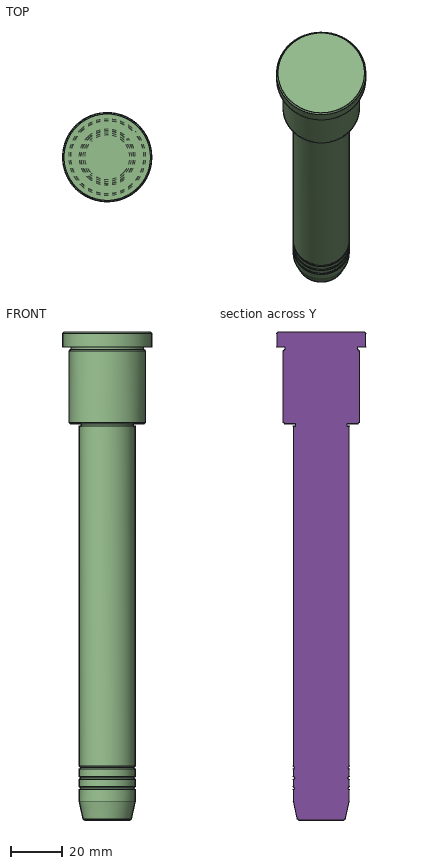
import cadquery as cq

total_length = 191.0
head_radius = 35.0 / 2
head_height = 6.0
head_chamfer = 0.5

collar_radius = 30.0 / 2
collar_bottom_depth = 36.0
collar_chamfer = 0.5

shank_radius = 22.0 / 2
tip_radius = 9.4
tip_length = 7.5
tip_chamfer = 0.5

relief_width = 1.0
relief_depth = 0.8

ring_count = 3
ring_pitch = 4.0
first_ring_height = 12.6
ring_width = 1.1
ring_depth = 0.5

bottom_z = -total_length / 2
top_z = total_length / 2
head_bottom_z = top_z - head_height
collar_bottom_z = top_z - collar_bottom_depth


def cylinder(radius, low_z, high_z):
    """Solid cylinder on the Z axis between two heights."""
    return cq.Workplane("XY").workplane(offset=low_z).circle(radius).extrude(high_z - low_z)


def groove(radius, depth, low_z, width):
    """Ring-shaped cutter that sinks a groove into a cylinder."""
    outer = cylinder(radius + depth, low_z, low_z + width)
    return outer.cut(cylinder(radius - depth, low_z, low_z + width))


def v_groove(radius, depth, middle_z, width):
    """Ring-shaped cutter with a triangular section, pointing at the axis."""
    section = [
        (radius, middle_z - width / 2),
        (radius - depth, middle_z),
        (radius, middle_z + width / 2),
        (radius + depth, middle_z),
    ]
    return cq.Workplane("XZ").polyline(section).close().revolve(360, (0, 0, 0), (0, 1, 0))


head = cylinder(head_radius, head_bottom_z, top_z).faces(">Z").chamfer(head_chamfer)

collar_top_z = head_bottom_z - relief_width
collar = cylinder(collar_radius, collar_bottom_z, collar_top_z)
collar = collar.faces("<Z or >Z").edges().chamfer(collar_chamfer)
head_relief = cylinder(collar_radius - relief_depth, collar_top_z, head_bottom_z)

tip_top_z = bottom_z + tip_length
shank = cylinder(shank_radius, tip_top_z, collar_bottom_z)
tip = (
    cq.Workplane("XY")
    .workplane(offset=bottom_z)
    .circle(tip_radius)
    .workplane(offset=tip_length)
    .circle(shank_radius)
    .loft()
    .faces("<Z")
    .chamfer(tip_chamfer)
)

shank = shank.cut(groove(shank_radius, relief_depth, collar_bottom_z - relief_width, relief_width))
for index in range(ring_count):
    ring_z = bottom_z + first_ring_height + index * ring_pitch
    shank = shank.cut(v_groove(shank_radius, ring_depth, ring_z, ring_width))

result = head.union(head_relief).union(collar).union(shank).union(tip)